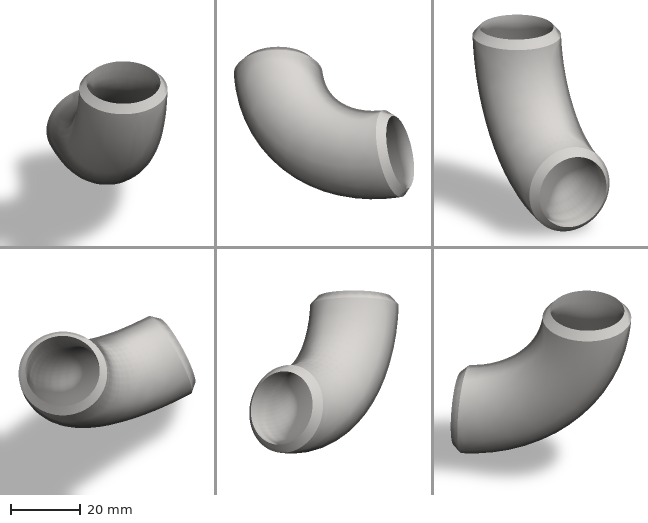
import cadquery as cq

bend_radius = 38.35
outer_radius = 12.75
bore_radius = 10.65
bevel_length = 2.35
bend_angle = 89.0
corner_angle = 90.0
end_tilt = (corner_angle - bend_angle) / 2
cutter_reach = 1.0


def swept_bar(radius):
    """Solid round bar bent about Y, from the XY plane downwards."""
    return (
        cq.Workplane("XY")
        .center(bend_radius, 0)
        .circle(radius)
        .revolve(bend_angle, (-bend_radius, 0), (-bend_radius, 1))
    )


def bevel_cutter():
    """Ring with a conical inner face, centred on the starting end of the bend."""
    slope = bevel_length / (outer_radius - bore_radius)
    cutter_radius = outer_radius + cutter_reach
    cutter_depth = (cutter_radius - bore_radius) * slope
    return (
        cq.Workplane("XZ", origin=(bend_radius, 0, 0))
        .moveTo(bore_radius, 0)
        .lineTo(cutter_radius, -cutter_depth)
        .lineTo(cutter_radius, cutter_reach)
        .lineTo(bore_radius, cutter_reach)
        .close()
        .revolve(360, (0, 0), (0, 1))
    )


def turned(shape, angle):
    return shape.rotate((0, 0, 0), (0, 1, 0), angle)


start_cutter = bevel_cutter()
end_cutter = turned(start_cutter.mirror("XY"), bend_angle)

elbow = swept_bar(outer_radius).cut(start_cutter).cut(end_cutter)
elbow = elbow.cut(swept_bar(bore_radius))

result = turned(elbow, end_tilt)